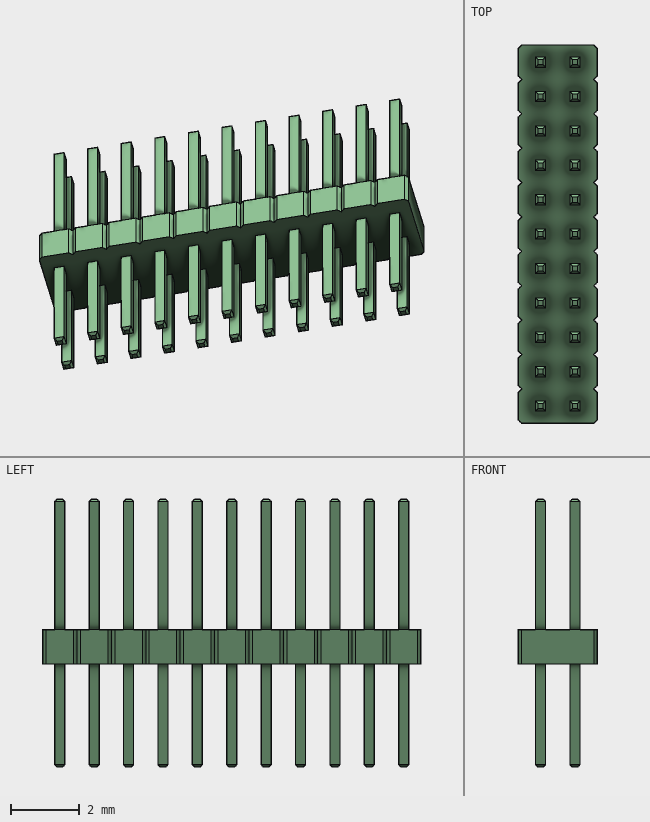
import cadquery as cq

position_count = 11
row_count = 2
body_length = 11.0
pitch = body_length / position_count

body_width = 2.3
body_height = pitch
corner_cut = pitch / 10

pin_width = 0.3
pin_length = 7.8
tail_length = 3 * pitch
tip_bevel = pin_width / 4


def make_segment():
    """One position of the body, with its four upright corners cut."""
    return (
        cq.Workplane("XY")
        .box(body_width, pitch, body_height, centered=(True, True, False))
        .edges("|Z")
        .chamfer(corner_cut)
    )


def make_pin():
    """One square pin with beveled tips, its lower end below the body."""
    return (
        cq.Workplane("XY")
        .workplane(offset=-tail_length)
        .rect(pin_width, pin_width)
        .extrude(pin_length)
        .faces("<Z or >Z")
        .chamfer(tip_bevel)
    )


def centered_offset(index, count):
    """Place of one item in an evenly pitched line centered on zero."""
    return (index - (count - 1) / 2) * pitch


segment = make_segment()
result = cq.Workplane("XY")
for position in range(position_count):
    y = centered_offset(position, position_count)
    result = result.union(segment.translate((0, y, 0)))

pin = make_pin()
for position in range(position_count):
    y = centered_offset(position, position_count)
    for row in range(row_count):
        x = centered_offset(row, row_count)
        result = result.union(pin.translate((x, y, 0)))